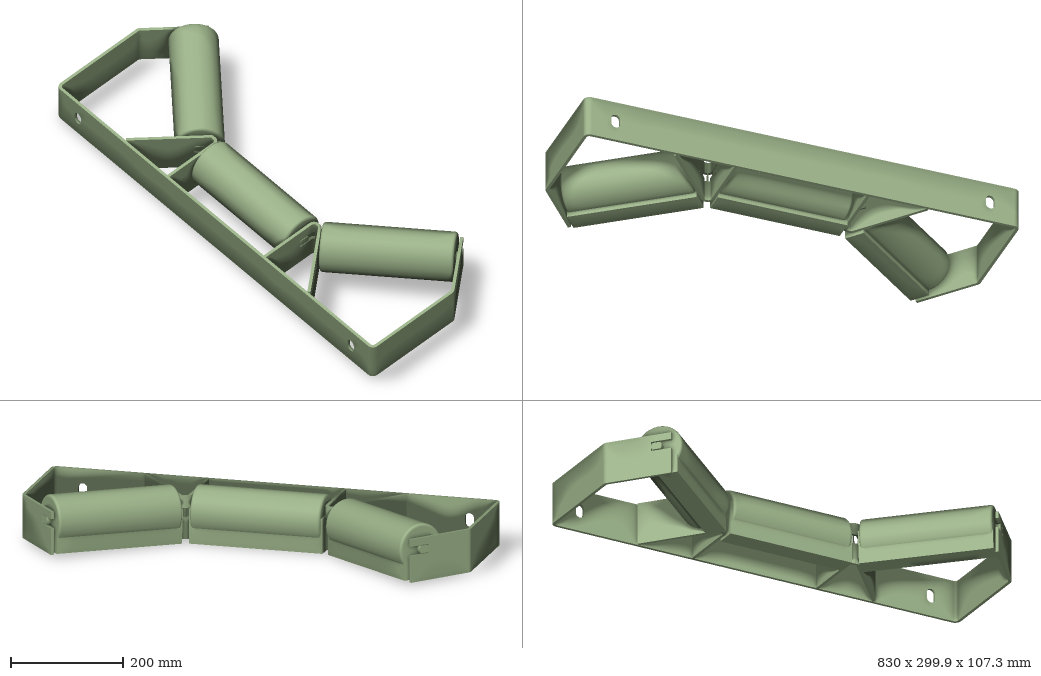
import cadquery as cq
import math


frame_length = 830.0
bar_width = 80.0
bar_thickness = 6.0
bend_radius = 12.0

roller_diameter = 90.0
roller_length = 241.0
roller_edge_radius = 5.0

shaft_diameter = 20.0
shaft_flats = 13.0
seat_span = 247.0
end_gap = 0.4
keel_width = 37.0
keel_depth = 54.0
keel_height = keel_depth + shaft_diameter / 2

trough_angle = 40.0
forward_tilt = 2.0
middle_y = 100.0
middle_z = 49.0
side_x = 252.0
side_y = 190.0
side_z = middle_z + roller_length / 2 * math.sin(math.radians(forward_tilt))

flap_reach = 28.0
bracket_top = 128.0
hole_inset = 57.0
hole_width = 17.0
hole_height = 26.5
slot_width = 17.5
slot_reach = 50.0
slot_margin = 3.0
flap_bend_radius = 8.0

trough = math.radians(trough_angle)
outward = (-math.cos(trough), math.sin(trough))
upward = (math.sin(trough), math.cos(trough))


def side_point(along, up):
    """Point in XY at the left station, measured along the roller axis and up the flap."""
    return (
        -side_x + along * outward[0] + up * upward[0],
        side_y + along * outward[1] + up * upward[1],
    )


def flap_point_at_x(along, x):
    """Point with the given X on a flap face."""
    base = side_point(along, 0)
    return (x, base[1] + (x - base[0]) * upward[1] / upward[0])


def flap_point_at_y(along, y):
    """Point with the given Y on a flap face."""
    base = side_point(along, 0)
    return (base[0] + (y - base[1]) * upward[0] / upward[1], y)


def mirrored(points):
    return [(-x, y) for x, y in reversed(points)]


def bar(outline):
    return cq.Workplane("XY").polyline(outline).close().extrude(bar_width)


def round_bend(body, outer_corner, inner_corner, outer_radius):
    """Round both faces of one bend of the bar."""
    inner_radius = outer_radius - bar_thickness
    for (x, y), radius in ((outer_corner, outer_radius), (inner_corner, inner_radius)):
        edge = cq.selectors.NearestToPointSelector((x, y, bar_width / 2))
        body = body.edges("|Z").edges(edge).fillet(radius)
    return body


def place_middle(body):
    return body.translate((0, middle_y, middle_z))


def place_left(body):
    """Tilt, slope and move a body built along X to the left station."""
    tilted = body.rotate((0, 0, 0), (0, 1, 0), forward_tilt)
    sloped = tilted.rotate((0, 0, 0), (0, 0, 1), -trough_angle)
    return sloped.translate((-side_x, side_y, side_z))


def cylinder_along_x(diameter, length):
    """Cylinder centred on the origin."""
    return cq.Workplane("YZ").circle(diameter / 2).extrude(length / 2, both=True)


def make_shaft(keel_start, keel_end):
    """Round shaft along X with two flats at each end and a keel along its +Y side."""
    round_part = cylinder_along_x(shaft_diameter, seat_span - 2 * end_gap)
    full_length = cylinder_along_x(shaft_diameter, seat_span + 2 * bar_thickness)
    flats = cq.Workplane("XY").box(frame_length, shaft_diameter, shaft_flats)
    keel = cq.Workplane("XY").box(keel_end - keel_start, keel_width, keel_height, centered=False)
    keel = keel.translate((keel_start, 0, -keel_depth))
    return round_part.union(full_length.intersect(flats)).union(keel)


def make_roller(shaft):
    """Solid roller with rounded ends, relieved for its shaft and keel."""
    roller = cylinder_along_x(roller_diameter, roller_length)
    return roller.edges("%CIRCLE").fillet(roller_edge_radius).cut(shaft)


inner_face = seat_span / 2
outer_face = inner_face + bar_thickness


def make_slots():
    """Cutters for the two open slots that seat the flattened ends of a shaft."""
    depth = bar_thickness + 2 * slot_margin
    slot = cq.Workplane("XY").box(depth, slot_reach, slot_width, centered=(True, False, True))
    slot = slot.translate(((inner_face + outer_face) / 2, -shaft_diameter / 2, 0))
    return slot.union(slot.mirror("YZ"))


def make_frame():
    half = frame_length / 2
    inside = half - bar_thickness
    outer_left = [
        (-half, 0),
        flap_point_at_x(outer_face, -half),
        side_point(outer_face, flap_reach),
    ]
    inner_left = [
        side_point(inner_face, flap_reach),
        flap_point_at_x(inner_face, -inside),
        (-inside, bar_thickness),
    ]
    left = outer_left + inner_left
    frame = bar(left + mirrored(left))

    lower_bend = (outer_left[0], inner_left[2])
    upper_bend = (outer_left[1], inner_left[1])
    for outer, inner in (lower_bend, upper_bend):
        frame = round_bend(frame, outer, inner, bend_radius)
        frame = round_bend(frame, (-outer[0], outer[1]), (-inner[0], inner[1]), bend_radius)

    hole_x = half - hole_inset
    holes = (
        cq.Workplane("XZ")
        .pushPoints([(-hole_x, bar_width / 2), (hole_x, bar_width / 2)])
        .slot2D(hole_height, hole_width, 90)
        .extrude(-bar_thickness)
    )
    left_slots = place_left(make_slots())
    return frame.cut(holes).cut(left_slots).cut(left_slots.mirror("YZ"))


def make_left_bracket():
    """Bent support with a sloped flap, a short level top and an upright leg."""
    foot = bar_thickness
    level = bracket_top - bar_thickness
    foot_corner = flap_point_at_y(-outer_face, foot)
    square_foot = (
        foot_corner[0] + bar_thickness * outward[0],
        foot_corner[1] + bar_thickness * outward[1],
    )
    outer_top = flap_point_at_y(-inner_face, bracket_top)
    inner_top = flap_point_at_y(-outer_face, level)
    bracket = bar([
        square_foot,
        outer_top,
        (-inner_face, bracket_top),
        (-inner_face, foot),
        (-outer_face, foot),
        (-outer_face, level),
        inner_top,
        foot_corner,
    ])
    bracket = round_bend(bracket, (-inner_face, bracket_top), (-outer_face, level), bend_radius)
    bracket = round_bend(bracket, outer_top, inner_top, flap_bend_radius)
    slots = make_slots()
    return bracket.cut(place_middle(slots)).cut(place_left(slots))


frame = make_frame()
left_bracket = make_left_bracket()
brackets = [left_bracket, left_bracket.mirror("YZ")]

middle_shaft = make_shaft(-inner_face, inner_face)
side_shaft = make_shaft(-roller_length / 2, inner_face - end_gap)
left_shaft = place_left(side_shaft)
shafts = [place_middle(middle_shaft), left_shaft, left_shaft.mirror("YZ")]

left_roller = place_left(make_roller(side_shaft))
rollers = [place_middle(make_roller(middle_shaft)), left_roller, left_roller.mirror("YZ")]

bodies = [frame, *brackets, *shafts, *rollers]
result = cq.Compound.makeCompound([body.val() for body in bodies])